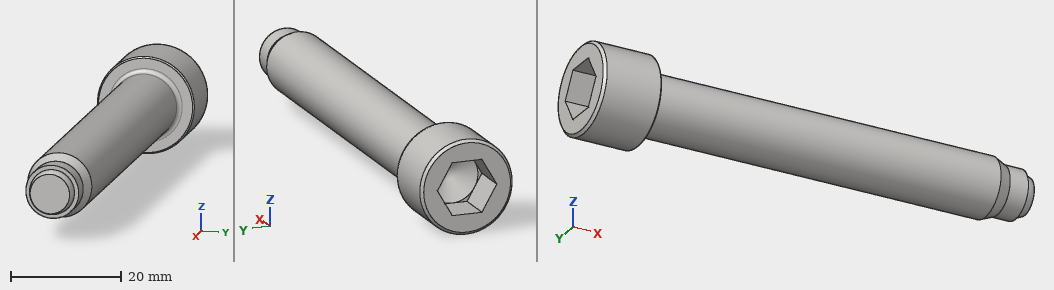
import cadquery as cq
import math

total_length = 92.0

head_diameter = 18.0
head_length = 12.0
head_front_chamfer = 0.55
head_back_chamfer = 0.3

shank_diameter = 12.0
neck_fillet = 0.8
taper_length = 2.5
pilot_diameter = 9.8
pilot_length = 3.8
tip_diameter = 8.3
tip_length = 1.9

socket_across_flats = 10.0
socket_depth = 7.4
socket_cone_angle = 120.0

tip_start = total_length - tip_length
pilot_start = tip_start - pilot_length
taper_start = pilot_start - taper_length


def make_body():
    """Revolve the outer profile about the X axis."""
    head_radius = head_diameter / 2
    shank_radius = shank_diameter / 2
    pilot_radius = pilot_diameter / 2
    tip_radius = tip_diameter / 2
    tip_end_radius = math.sqrt(tip_radius**2 - tip_length**2)
    neck_end = (head_length + neck_fillet, shank_radius)
    return (
        cq.Workplane("XY")
        .moveTo(0, 0)
        .lineTo(0, head_radius - head_front_chamfer)
        .lineTo(head_front_chamfer, head_radius)
        .lineTo(head_length - head_back_chamfer, head_radius)
        .lineTo(head_length, head_radius - head_back_chamfer)
        .lineTo(head_length, shank_radius + neck_fillet)
        .radiusArc(neck_end, -neck_fillet)
        .lineTo(taper_start, shank_radius)
        .lineTo(pilot_start, pilot_radius)
        .lineTo(tip_start, pilot_radius)
        .lineTo(tip_start, tip_radius)
        .radiusArc((total_length, tip_end_radius), tip_radius)
        .lineTo(total_length, 0)
        .close()
        .revolve(360, (0, 0, 0), (1, 0, 0))
    )


def make_socket():
    """Hexagonal prism with corners on the Y axis, ending in a cone."""
    across_corners = socket_across_flats / math.cos(math.radians(30))
    hexagon = cq.Workplane("YZ").polygon(6, across_corners).extrude(socket_depth)
    cone_radius = socket_across_flats / 2
    cone_height = cone_radius / math.tan(math.radians(socket_cone_angle / 2))
    cone = (
        cq.Workplane("XY")
        .moveTo(socket_depth, 0)
        .lineTo(socket_depth, cone_radius)
        .lineTo(socket_depth + cone_height, 0)
        .close()
        .revolve(360, (0, 0, 0), (1, 0, 0))
    )
    return hexagon.union(cone)


result = make_body().cut(make_socket())